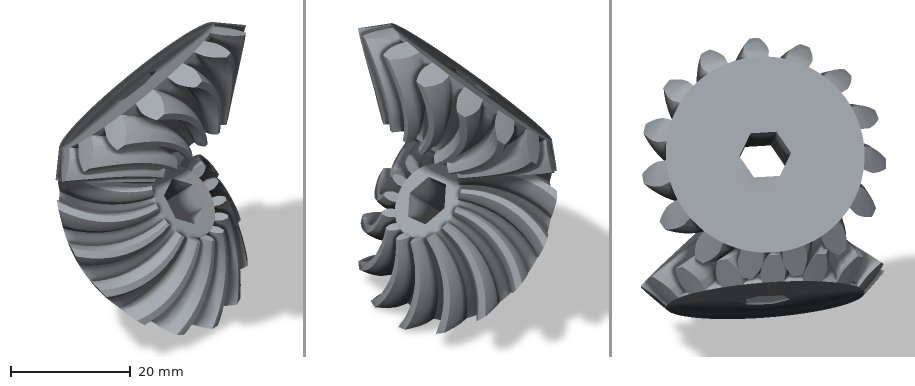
import cadquery as cq
import math


module = 2.5
tooth_count = 15
pitch_angle = math.radians(45)
pressure_angle = math.radians(20)
mean_spiral_angle = math.radians(18)
cutter_radius = 17.0
face_width = 16.0
hex_across_flats = 7.5

pitch_radius = module * tooth_count / 2
cone_distance = pitch_radius / math.sin(pitch_angle)
addendum = module
clearance = 0.2 * module
dedendum = addendum + clearance
tip_radius = pitch_radius + addendum
root_radius = pitch_radius - dedendum
base_radius = pitch_radius * math.cos(pressure_angle)
pitch_step = 360 / tooth_count

inner_scale = 1 - face_width / cone_distance
mean_cone_distance = cone_distance - face_width / 2
cutter_offset = math.sqrt(
    mean_cone_distance**2
    + cutter_radius**2
    - 2 * mean_cone_distance * cutter_radius * math.sin(mean_spiral_angle)
)

back_height = cone_distance * math.cos(pitch_angle) + dedendum * math.sin(pitch_angle)

section_count = 9
flank_point_count = 6
end_overrun = 0.04
tip_overrun = 0.15
root_overrun = 0.6


def cone_point(height, scale=1.0):
    """(radius, distance from the apex along the axis) at a height above the pitch cone."""
    radius = pitch_radius + height * math.cos(pitch_angle)
    axial = cone_distance * math.cos(pitch_angle) - height * math.sin(pitch_angle)
    return radius * scale, axial * scale


def cutter_angle(scale):
    """Angle, on the unrolled pitch cone, of the cutter arc at this scale."""
    distance = cone_distance * scale
    cosine = (distance**2 + cutter_offset**2 - cutter_radius**2) / (2 * distance * cutter_offset)
    return math.acos(cosine)


def twist(scale):
    """Turn of the tooth about the gear axis, in radians, relative to its outer end."""
    return (cutter_angle(scale) - cutter_angle(1.0)) / math.sin(pitch_angle)


def involute(angle):
    return math.tan(angle) - angle


def flank_point(radius):
    """(half thickness, height above the pitch cone) of the tooth flank at this radius."""
    half_angle = math.pi / (2 * tooth_count) + involute(pressure_angle)
    half_angle -= involute(math.acos(base_radius / radius))
    return radius * math.sin(half_angle), radius * math.cos(half_angle) - pitch_radius


def tooth_section(scale):
    """Closed tooth outline across the pitch cone, turned along the spiral."""
    top_radius = tip_radius + tip_overrun
    flank = []
    for i in range(flank_point_count + 1):
        radius = base_radius + (top_radius - base_radius) * i / flank_point_count
        half_thickness, height = flank_point(radius)
        flank.append((half_thickness * scale, height * scale))
    foot_radius = root_radius - root_overrun
    base_half, base_height = flank_point(base_radius)
    foot_half = base_half * foot_radius / base_radius
    foot_height = (base_height + pitch_radius) * foot_radius / base_radius - pitch_radius
    left_flank = [(-half, height) for half, height in flank]

    turn = twist(scale)
    radius, axial = cone_point(0, scale)
    side = cq.Vector(-math.sin(turn), math.cos(turn), 0)
    towards_apex = cq.Vector(
        -math.sin(pitch_angle) * math.cos(turn),
        -math.sin(pitch_angle) * math.sin(turn),
        -math.cos(pitch_angle),
    )
    origin = cq.Vector(radius * math.cos(turn), radius * math.sin(turn), axial)
    plane = cq.Plane(origin=origin, xDir=side, normal=towards_apex)
    outline = (
        cq.Workplane(plane)
        .moveTo(foot_half * scale, foot_height * scale)
        .lineTo(*flank[0])
        .spline(flank[1:], includeCurrent=True)
        .lineTo(*left_flank[-1])
        .spline(left_flank[-2::-1], includeCurrent=True)
        .lineTo(-foot_half * scale, foot_height * scale)
        .close()
    )
    return outline.val()


def tooth_blank():
    """Ring between the back and front cones, from the tip cone down past the root cone."""
    middle_scale = (1 + inner_scale) / 2
    ring = [
        cone_point(-dedendum),
        cone_point(addendum),
        cone_point(addendum, inner_scale),
        cone_point(-dedendum, inner_scale),
        cone_point(-dedendum - root_overrun, middle_scale),
    ]
    return cq.Workplane("XZ").polyline(ring).close().revolve(360, (0, 0), (0, 1))


def root_body():
    """Solid core inside the root cone, flat at both ends."""
    outer_radius, outer_axial = cone_point(-dedendum)
    inner_radius, inner_axial = cone_point(-dedendum, inner_scale)
    half_profile = [
        (0, outer_axial),
        (outer_radius, outer_axial),
        (inner_radius, inner_axial),
        (0, inner_axial),
    ]
    return cq.Workplane("XZ").polyline(half_profile).close().revolve(360, (0, 0), (0, 1))


def spiral_tooth():
    """One tooth, lofted through its sections and trimmed to the blank, its outer end at the +X side."""
    first_scale = inner_scale - end_overrun
    last_scale = 1 + end_overrun
    sections = []
    for i in range(section_count):
        scale = first_scale + (last_scale - first_scale) * i / (section_count - 1)
        sections.append(tooth_section(scale))
    return cq.Workplane(cq.Solid.makeLoft(sections)).intersect(tooth_blank())


def build_gear():
    """Gear on the +Z axis, its apex at the origin and a tooth gap at the +X side."""
    tooth = spiral_tooth().val()
    teeth = []
    for i in range(tooth_count):
        turn = pitch_step / 2 + i * pitch_step
        teeth.append(tooth.rotate(cq.Vector(0, 0, 0), cq.Vector(0, 0, 1), turn))
    bore = cq.Workplane("XY").polygon(6, hex_across_flats, circumscribed=True).extrude(back_height)
    body = root_body().cut(bore).val().fuse(*teeth)
    return cq.Workplane(body.Solids()[0])


def tilt_up(gear):
    """Lean a gear's axis from the apex towards -X and +Z, its +X side towards the mating gear."""
    lean = cq.Plane(origin=(0, 0, 0), xDir=(-1, 0, -1), normal=(-1, 0, 1))
    return cq.Workplane(gear.val().moved(cq.Location(lean)))


gear = build_gear()
upper_gear = tilt_up(gear)

turned_gear = gear.rotate((0, 0, 0), (0, 0, 1), pitch_step / 2)
lower_gear = tilt_up(turned_gear).mirror("XY")

result = cq.Compound.makeCompound([upper_gear.val(), lower_gear.val()])